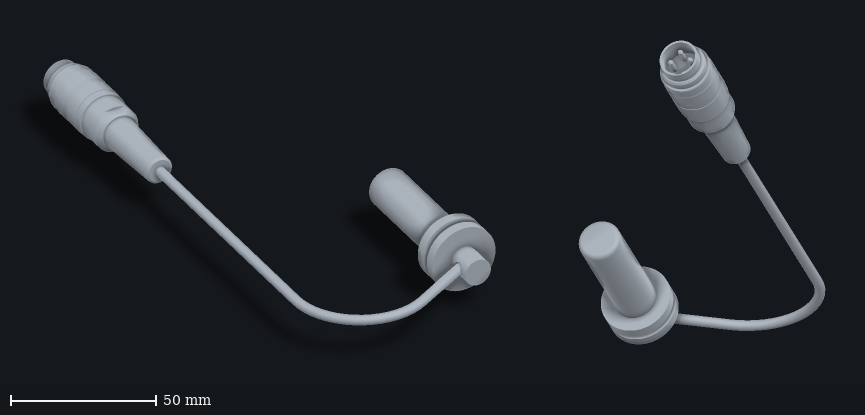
import cadquery as cq
import math

OVERALL_LENGTH = 193.3
OVERALL_WIDTH = 85.2

NOSE_DIA = 13.5
NOSE_END = 4.5
COLLAR_DIA = 16.0
COLLAR_CHAMFER = 0.5
GRIP_DIA = 18.2
GRIP_START = 7.7
GRIP_END = 30.3
BAND_DIA = 18.5
RAMP_LENGTH = 0.5
RAMP_RISE = (BAND_DIA - GRIP_DIA) / 2
RAMPED_BAND = (11.8, 18.4)
SQUARE_BAND = (21.0, 27.0)
SHELL_DIA = 17.0
SHELL_TAPER_START = 39.6
SHELL_TAPER_DROP = 1.0
SHELL_END = 42.0
SHELL_CHAMFER = 0.5
FLAT_START = 38.0
FLAT_SPAN = 15.0

SOCKET_DIA = 12.0
SOCKET_DEPTH = 7.7
PIN_DIA = 1.7
PIN_LENGTH = 6.0
PIN_CHAMFER = 0.4
PIN_CIRCLE_DIA = 7.0
PIN_ANGLES = (0, 90, 180)
KEYWAY_WIDTH = 2.3
KEYWAY_TOP = -2.1
KEYWAY_WALL_DEPTH = 0.4
KEYWAY_FLOOR_DEPTH = 0.48

BOOT_ROOT_DIA = 12.5
BOOT_TIP_DIA = 10.2
BOOT_END = 70.2
BOOT_CHAMFER = 0.8

CABLE_DIA = 3.7
BEND_START = 166.5
BEND_RADIUS = OVERALL_LENGTH - CABLE_DIA / 2 - BEND_START
LEAN_ANGLE = math.radians(30)

NUT_DIA = 25.0
NUT_THICKNESS = 3.9
NUT_GAP = 2.5

SENSOR_Y = OVERALL_WIDTH - BAND_DIA / 2 - NUT_DIA / 2
SENSOR_START = 116.2
BARREL_DIA = 15.0
BARREL_END = 171.0
BARREL_FILLET = 2.0
TAIL_DIA = 10.0
TAIL_END = 181.1
RECESS_DIA = 5.0
RECESS_DEPTH = 0.8

REAR_NUT_START = BARREL_END - NUT_THICKNESS
FRONT_NUT_START = REAR_NUT_START - NUT_GAP - NUT_THICKNESS
TAIL_SIDE_Y = SENSOR_Y - TAIL_DIA / 2
RECESS_FLOOR_Y = TAIL_SIDE_Y + RECESS_DEPTH


def bend_point(angle):
    """Point on the cable centreline in the bend; the angle is measured from +X."""
    return (
        BEND_START + BEND_RADIUS * math.cos(angle),
        BEND_RADIUS + BEND_RADIUS * math.sin(angle),
    )


def leaning_run_x(y):
    """X of the centreline of the leaning cable run at a given Y."""
    bend_end_x, bend_end_y = bend_point(LEAN_ANGLE)
    return bend_end_x - (y - bend_end_y) * math.tan(LEAN_ANGLE)


def x_cylinder(dia, start, end, y=0.0, z=0.0):
    """Solid cylinder along +X between two X stations."""
    return cq.Workplane("YZ", origin=(start, y, z)).circle(dia / 2).extrude(end - start)


def revolve_about_x(points):
    """Solid turned about the X axis from a closed (x, radius) outline."""
    return cq.Workplane("XY").polyline(points).close().revolve(360, (0, 0, 0), (1, 0, 0))


def plug_envelope():
    """Nose, collar, banded grip and shell, turned from one outline."""
    nose_r = NOSE_DIA / 2
    collar_r = COLLAR_DIA / 2
    grip_r = GRIP_DIA / 2
    band_r = BAND_DIA / 2
    shell_r = SHELL_DIA / 2
    taper_r = shell_r - SHELL_TAPER_DROP
    ramped_start, ramped_end = RAMPED_BAND
    square_start, square_end = SQUARE_BAND
    return revolve_about_x([
        (0, 0),
        (0, nose_r),
        (NOSE_END, nose_r),
        (NOSE_END, collar_r - COLLAR_CHAMFER),
        (NOSE_END + COLLAR_CHAMFER, collar_r),
        (GRIP_START, collar_r),
        (GRIP_START, grip_r - RAMP_RISE),
        (GRIP_START + RAMP_LENGTH, grip_r),
        (ramped_start, grip_r),
        (ramped_start + RAMP_LENGTH, band_r),
        (ramped_end - RAMP_LENGTH, band_r),
        (ramped_end, grip_r),
        (square_start, grip_r),
        (square_start, band_r),
        (square_end, band_r),
        (square_end, grip_r),
        (GRIP_END, grip_r),
        (GRIP_END, shell_r),
        (SHELL_TAPER_START, shell_r),
        (SHELL_END - SHELL_CHAMFER, taper_r),
        (SHELL_END, taper_r - SHELL_CHAMFER),
        (SHELL_END, 0),
    ])


def flat_cutters():
    """Blocks that leave two spanner flats on the rear of the shell."""
    length = SHELL_END - FLAT_START
    block = cq.Workplane("XY").box(length, SHELL_DIA, SHELL_DIA, centered=(False, True, True))
    offset = (FLAT_SPAN + SHELL_DIA) / 2
    upper = block.translate((FLAT_START, 0, offset))
    lower = block.translate((FLAT_START, 0, -offset))
    return upper.union(lower)


def keyway_cutter():
    """Round-topped keyway along the socket wall, ending as a tapered slot in the socket floor."""
    half_width = KEYWAY_WIDTH / 2
    bottom = -SOCKET_DIA / 2 - KEYWAY_WALL_DEPTH
    arc_start = KEYWAY_TOP - half_width
    return (
        cq.Workplane("YZ")
        .moveTo(-half_width, bottom)
        .lineTo(-half_width, arc_start)
        .threePointArc((0, KEYWAY_TOP), (half_width, arc_start))
        .lineTo(half_width, bottom)
        .close()
        .extrude(SOCKET_DEPTH + KEYWAY_FLOOR_DEPTH)
        .faces(">X")
        .chamfer(KEYWAY_FLOOR_DEPTH)
    )


def contact_pin(angle_deg):
    """Chamfered contact pin standing on the socket floor."""
    angle = math.radians(angle_deg)
    y = PIN_CIRCLE_DIA / 2 * math.cos(angle)
    z = PIN_CIRCLE_DIA / 2 * math.sin(angle)
    pin = x_cylinder(PIN_DIA, SOCKET_DEPTH - PIN_LENGTH, SOCKET_DEPTH, y, z)
    return pin.faces("<X").chamfer(PIN_CHAMFER)


def boot():
    """Tapered strain relief with a chamfered tip."""
    cone = revolve_about_x([
        (SHELL_END, 0),
        (SHELL_END, BOOT_ROOT_DIA / 2),
        (BOOT_END, BOOT_TIP_DIA / 2),
        (BOOT_END, 0),
    ])
    return cone.faces(">X").chamfer(BOOT_CHAMFER)


def cable():
    """Round cable from the boot tip to the floor of the recess in the sensor tail."""
    bend_middle_angle = (LEAN_ANGLE - math.pi / 2) / 2
    path = (
        cq.Workplane("XY")
        .moveTo(BOOT_END, 0)
        .lineTo(BEND_START, 0)
        .threePointArc(bend_point(bend_middle_angle), bend_point(LEAN_ANGLE))
        .lineTo(leaning_run_x(SENSOR_Y), SENSOR_Y)
    )
    full = cq.Workplane("YZ", origin=(BOOT_END, 0, 0)).circle(CABLE_DIA / 2).sweep(path)
    beyond_floor = (
        cq.Workplane("XY")
        .box(TAIL_DIA, TAIL_DIA, TAIL_DIA, centered=(True, False, True))
        .translate((leaning_run_x(SENSOR_Y), RECESS_FLOOR_Y, 0))
    )
    return full.cut(beyond_floor)


def plug_lead():
    """Plug with its boot and cable, one body."""
    body = plug_envelope().cut(flat_cutters())
    body = body.cut(x_cylinder(SOCKET_DIA, 0, SOCKET_DEPTH)).cut(keyway_cutter())
    for angle_deg in PIN_ANGLES:
        body = body.union(contact_pin(angle_deg))
    return body.union(boot()).union(cable())


def sensor():
    """Barrel with a rounded nose and a thinner tail that takes the cable end."""
    barrel = x_cylinder(BARREL_DIA, SENSOR_START, BARREL_END, SENSOR_Y)
    barrel = barrel.faces("<X").edges().fillet(BARREL_FILLET)
    tail = x_cylinder(TAIL_DIA, BARREL_END, TAIL_END, SENSOR_Y)
    recess_x = leaning_run_x(TAIL_SIDE_Y + RECESS_DEPTH / 2)
    recess = (
        cq.Workplane("XZ", origin=(recess_x, RECESS_FLOOR_Y, 0))
        .circle(RECESS_DIA / 2)
        .extrude(RECESS_DEPTH)
    )
    return barrel.union(tail).cut(recess)


def clamp_nut(start):
    """Plain round nut fitting closely on the barrel."""
    end = start + NUT_THICKNESS
    bore = x_cylinder(BARREL_DIA, start, end, SENSOR_Y)
    return x_cylinder(NUT_DIA, start, end, SENSOR_Y).cut(bore)


lead_body = plug_lead()
sensor_body = sensor()
nut_bodies = [clamp_nut(start) for start in (FRONT_NUT_START, REAR_NUT_START)]

result = cq.Compound.makeCompound([
    lead_body.val(),
    sensor_body.val(),
    *[nut.val() for nut in nut_bodies],
])